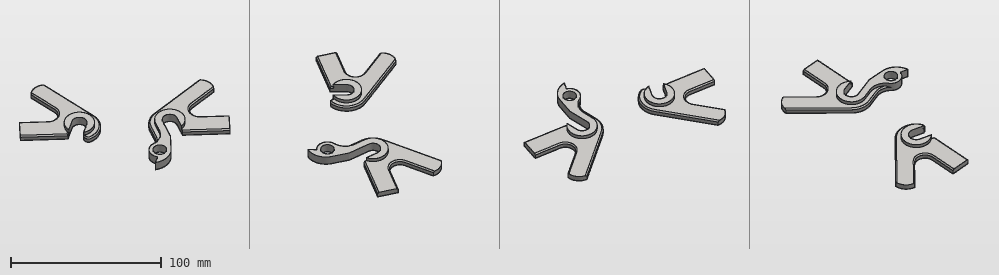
import cadquery as cq
import math

PLATE_HEIGHT = 4.0
TOTAL_HEIGHT = 6.5
EDGE_CHAMFER = 1.0

EYE_RADIUS = 14.0
BOSS_RADIUS = 10.1
SLOT_RADIUS = 5.0
SLOT_ANGLE = -95.5

ARM_ANGLE = 22.5
LONG_ARM_INNER = 1.2
LONG_ARM_OUTER_LENGTH = 43.5
LONG_ARM_INNER_LENGTH = 44.6
LONG_ARM_CROWN_LENGTH = 46.5
SHORT_ARM_UPPER = 5.5
SHORT_ARM_LOWER = -8.9
SHORT_ARM_LENGTH = 39.5
CROTCH_RADIUS = 7.0

HOOK_TIP_RADIUS = 3.0

LUG_CENTER = (-18.5, -23.9)
LUG_RADIUS = 7.2
LUG_HOLE_RADIUS = 4.5
HANGER_WALL_LENGTH = 15.5
PLATE_NECK_RADIUS = 10.0
BOSS_NECK_RADIUS = 11.5
HANGER_SHOULDER = (-11.2, -25.9)
HANGER_BELLY = (-14.5, -30.8)
STOP_TIP = (-26.6, -34.1)
STOP_ROOT = (-22.6, -29.3)

HANGER_DROPOUT_ANGLE = 45
HANGER_DROPOUT_X = 55.4
HANGER_DROPOUT_Y = 23.2

MATCH_TOLERANCE = 0.001


def in_frame(angle, along, across):
    """Point given along a direction and across it, positive to the left."""
    cosine = math.cos(math.radians(angle))
    sine = math.sin(math.radians(angle))
    return cq.Vector(along * cosine - across * sine, along * sine + across * cosine)


def long_arm(along, across):
    return in_frame(ARM_ANGLE, along, across)


def short_arm(along, across):
    return in_frame(-ARM_ANGLE, along, across)


def slot(along, across):
    """Point in the slot frame; the hook lies on the negative side."""
    return in_frame(SLOT_ANGLE, along, across)


def line(start, end):
    return cq.Edge.makeLine(cq.Vector(start), cq.Vector(end))


def arc(start, middle, end):
    return cq.Edge.makeThreePointArc(cq.Vector(start), cq.Vector(middle), cq.Vector(end))


def arc_about(center, radius, start, end):
    """Minor arc between two points of a circle."""
    toward_middle = ((start - center) + (end - center)).normalized()
    return arc(start, center + toward_middle * radius, end)


def prism(edges, height):
    face = cq.Face.makeFromWires(cq.Wire.assembleEdges(edges))
    return cq.Workplane(obj=cq.Solid.extrudeLinear(face, cq.Vector(0, 0, height)))


def cylinder(radius, center=(0, 0)):
    return cq.Workplane().center(*center).circle(radius).extrude(TOTAL_HEIGHT)


def crotch_center():
    """Centre of the round that touches the inner edges of both arms."""
    long_offset = LONG_ARM_INNER - CROTCH_RADIUS
    short_offset = SHORT_ARM_UPPER + CROTCH_RADIUS
    x = (short_offset - long_offset) / (2 * math.sin(math.radians(ARM_ANGLE)))
    y = (short_offset + long_offset) / (2 * math.cos(math.radians(ARM_ANGLE)))
    return cq.Vector(x, y)


def slot_mouth():
    """Corner where the slot wall meets the lower edge of the short arm."""
    angle_between = math.radians(SLOT_ANGLE + ARM_ANGLE)
    along = (SHORT_ARM_LOWER - SLOT_RADIUS * math.cos(angle_between)) / math.sin(angle_between)
    return slot(along, SLOT_RADIUS)


def fork_edges():
    """Chamfered and square edges from the slot, around both arms, to the top of the eye."""
    crotch = crotch_center()
    long_tangent = crotch + long_arm(0, CROTCH_RADIUS)
    short_tangent = crotch + short_arm(0, -CROTCH_RADIUS)
    mouth = slot_mouth()
    short_lower = short_arm(SHORT_ARM_LENGTH, SHORT_ARM_LOWER)
    short_upper = short_arm(SHORT_ARM_LENGTH, SHORT_ARM_UPPER)
    long_inner = long_arm(LONG_ARM_INNER_LENGTH, LONG_ARM_INNER)
    long_crown = long_arm(LONG_ARM_CROWN_LENGTH, (LONG_ARM_INNER + EYE_RADIUS) / 2)
    long_outer = long_arm(LONG_ARM_OUTER_LENGTH, EYE_RADIUS)
    chamfered = [
        line(mouth, short_lower),
        line(short_upper, short_tangent),
        arc_about(crotch, CROTCH_RADIUS, short_tangent, long_tangent),
        line(long_tangent, long_inner),
        line(long_outer, long_arm(0, EYE_RADIUS)),
    ]
    square = [
        arc(slot(0, -SLOT_RADIUS), slot(-SLOT_RADIUS, 0), slot(0, SLOT_RADIUS)),
        line(slot(0, SLOT_RADIUS), mouth),
        line(short_lower, short_upper),
        arc(long_inner, long_crown, long_outer),
    ]
    return chamfered, square


def chamfered_plate(chamfered, square):
    """Plate with a chamfer along the top of the listed edges only."""
    plate = prism(chamfered + square, PLATE_HEIGHT)
    rims = [edge.translate(cq.Vector(0, 0, PLATE_HEIGHT)) for edge in chamfered]

    def is_rim(edge):
        middle = cq.Vertex.makeVertex(*edge.positionAt(0.5).toTuple())
        return any(rim.distance(middle) < MATCH_TOLERANCE for rim in rims)

    return plate.faces(">Z").edges().filter(is_rim).chamfer(EDGE_CHAMFER)


def slot_cutter():
    """Open-ended axle slot through the full height of the eye boss."""
    far = BOSS_RADIUS + SLOT_RADIUS
    return prism([
        arc(slot(0, -SLOT_RADIUS), slot(-SLOT_RADIUS, 0), slot(0, SLOT_RADIUS)),
        line(slot(0, SLOT_RADIUS), slot(far, SLOT_RADIUS)),
        line(slot(far, SLOT_RADIUS), slot(far, -SLOT_RADIUS)),
        line(slot(far, -SLOT_RADIUS), slot(0, -SLOT_RADIUS)),
    ], TOTAL_HEIGHT)


def neck_edges(offset, radius):
    """Straight run beside the slot and the hollow round leading tangentially onto the lug."""
    lug = cq.Vector(*LUG_CENTER)
    lug_along = lug.dot(slot(1, 0))
    lug_across = lug.dot(slot(0, 1))
    center_across = -(offset + radius)
    reach = radius + LUG_RADIUS
    center_along = lug_along - math.sqrt(reach**2 - (lug_across - center_across)**2)
    center = slot(center_along, center_across)
    bend = slot(center_along, -offset)
    lug_tangent = center + (lug - center) * (radius / reach)
    return [
        line(slot(0, -offset), bend),
        arc_about(center, radius, bend, lug_tangent),
    ]


def plain_dropout():
    chamfered, square = fork_edges()
    tip_distance = EYE_RADIUS - HOOK_TIP_RADIUS
    tip_across = -(SLOT_RADIUS + HOOK_TIP_RADIUS)
    tip_along = math.sqrt(tip_distance**2 - tip_across**2)
    tip_center = slot(tip_along, tip_across)
    hook_inner = slot(tip_along, -SLOT_RADIUS)
    hook_outer = tip_center * (EYE_RADIUS / tip_distance)
    hook_end = tip_center + slot(HOOK_TIP_RADIUS, 0)
    chamfered += [
        arc(long_arm(0, EYE_RADIUS), (-EYE_RADIUS, 0), hook_outer),
        arc(hook_outer, hook_end, hook_inner),
    ]
    square.append(line(hook_inner, slot(0, -SLOT_RADIUS)))
    boss = cylinder(BOSS_RADIUS).cut(slot_cutter())
    body = chamfered_plate(chamfered, square).union(boss)
    return body.mirror("YZ")


def hanger_arm():
    """Full-height arm from the eye to the lug, with the pointed stop below it."""
    bend = slot(HANGER_WALL_LENGTH, -SLOT_RADIUS)
    neck = neck_edges(BOSS_RADIUS, BOSS_NECK_RADIUS)
    arm = prism(neck + [
        line(neck[-1].endPoint(), LUG_CENTER),
        line(LUG_CENTER, STOP_ROOT),
        line(STOP_ROOT, STOP_TIP),
        arc(STOP_TIP, HANGER_BELLY, HANGER_SHOULDER),
        line(HANGER_SHOULDER, bend),
        line(bend, slot(0, -SLOT_RADIUS)),
        line(slot(0, -SLOT_RADIUS), slot(0, -BOSS_RADIUS)),
    ], TOTAL_HEIGHT)
    return arm.union(cylinder(LUG_RADIUS, LUG_CENTER))


def hanger_dropout():
    chamfered, square = fork_edges()
    bend = slot(HANGER_WALL_LENGTH, -SLOT_RADIUS)
    neck = neck_edges(EYE_RADIUS, PLATE_NECK_RADIUS)
    eye_start = long_arm(0, EYE_RADIUS)
    eye_end = slot(0, -EYE_RADIUS)
    chamfered += [arc_about(cq.Vector(), EYE_RADIUS, eye_start, eye_end)] + neck
    square += [
        line(neck[-1].endPoint(), LUG_CENTER),
        line(LUG_CENTER, bend),
        line(bend, slot(0, -SLOT_RADIUS)),
    ]
    boss = cylinder(BOSS_RADIUS).cut(slot_cutter())
    body = chamfered_plate(chamfered, square).union(boss).union(hanger_arm())
    body = body.cut(cylinder(LUG_HOLE_RADIUS, LUG_CENTER))
    body = body.rotate((0, 0, 0), (0, 0, 1), HANGER_DROPOUT_ANGLE)
    return body.translate((HANGER_DROPOUT_X, HANGER_DROPOUT_Y, 0))


result = cq.Compound.makeCompound([plain_dropout().val(), hanger_dropout().val()])